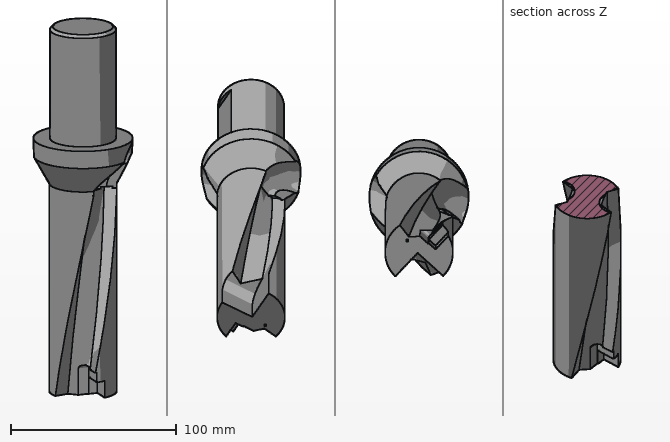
import cadquery as cq
import math

total_length = 229.0
face_z = 0.7
cone_bottom_z = 131.0
collar_bottom_z = 148.3
collar_top_z = 159.0

body_radius = 41.0 / 2
collar_radius = 60.0 / 2
shank_radius = 40.0 / 2
shank_chamfer = 1.8

flat_y = 18.3
flat_margin = 7.0

twist_per_unit = 0.5679
flute_top_z = 129.3
leading_lip = (body_radius, 102.5)
leading_root = (11.7, 105.0)
floor_middle = (10.0, 138.0)
trailing_root = (12.8, 167.0)
trailing_lip = (body_radius, 169.0)
lip_overrun = 1.4
mouth_middle = (29.8, 135.0)

runout_axis_y = -26.3
runout_axis_z = 128.2
runout_outer_x = -25.5
runout_inner_x = -8.5
runout_outer_wall = 21.3
runout_inner_wall = 14.6
runout_crown_x = -17.5
runout_crown = 28.8

central_face_x = -0.7
central_wall_y = -0.5
central_arc_z = 11.7
central_arc_radius = 14.6

outer_face_x = 7.8
outer_wall_y = 0.5
outer_ceiling_z = 17.2
relief_radius = 2.5
seat_face_x = 8.2
seat_wall_y = 6.0
seat_top_z = 11.2

point_x = 0.7
point_y = -10.3
point_radius = 0.7

clearance = 34.3


def polar(radius, degrees):
    angle = math.radians(degrees)
    return (radius * math.cos(angle), radius * math.sin(angle))


def extended(root, lip):
    """Continue the line from root to lip until it is well outside the body."""
    (x0, y0), (x1, y1) = polar(*root), polar(*lip)
    return (x0 + (x1 - x0) * lip_overrun, y0 + (y1 - y0) * lip_overrun)


def turned_blank():
    outline = (
        cq.Workplane("XZ")
        .moveTo(0, face_z)
        .lineTo(body_radius, face_z)
        .lineTo(body_radius, cone_bottom_z)
        .lineTo(collar_radius, collar_bottom_z)
        .lineTo(collar_radius, collar_top_z)
        .lineTo(shank_radius, collar_top_z)
        .lineTo(shank_radius, total_length - shank_chamfer)
        .lineTo(shank_radius - shank_chamfer, total_length)
        .lineTo(0, total_length)
        .close()
    )
    return outline.revolve(360, (0, 0, 0), (0, 1, 0))


def shank_flat():
    length = total_length - collar_top_z - 2 * flat_margin
    return (
        cq.Workplane("XY", origin=(0, flat_y, collar_top_z + flat_margin))
        .box(2 * shank_radius, clearance, length, centered=(True, False, False))
    )


def flute():
    profile = (
        cq.Workplane("XY")
        .moveTo(*extended(leading_root, leading_lip))
        .lineTo(*polar(*leading_root))
        .threePointArc(polar(*floor_middle), polar(*trailing_root))
        .lineTo(*extended(trailing_root, trailing_lip))
        .threePointArc(polar(*mouth_middle), extended(leading_root, leading_lip))
        .close()
    )
    return profile.twistExtrude(flute_top_z, twist_per_unit * flute_top_z)


def flute_runout():
    profile = (
        cq.Workplane("XY", origin=(0, runout_axis_y, runout_axis_z))
        .moveTo(runout_outer_x, 0)
        .lineTo(runout_outer_x, runout_outer_wall)
        .threePointArc((runout_crown_x, runout_crown), (runout_inner_x, runout_inner_wall))
        .lineTo(runout_inner_x, 0)
        .close()
    )
    return profile.revolve(180, (0, 0, 0), (1, 0, 0))


def central_pocket():
    arc_center_x = central_face_x - central_arc_radius
    profile = (
        cq.Workplane("XZ", origin=(0, central_wall_y, 0))
        .moveTo(central_face_x, 0)
        .lineTo(central_face_x, central_arc_z)
        .radiusArc((arc_center_x, central_arc_z + central_arc_radius), -central_arc_radius)
        .lineTo(-clearance, central_arc_z + central_arc_radius)
        .lineTo(-clearance, 0)
        .close()
    )
    return profile.extrude(-clearance)


def outer_pocket():
    pocket = (
        cq.Workplane("XY", origin=(outer_face_x, outer_wall_y - clearance, 0))
        .box(clearance, clearance, outer_ceiling_z, centered=False)
    )
    relief = (
        cq.Workplane("XZ", origin=(outer_face_x + relief_radius, outer_wall_y, outer_ceiling_z))
        .circle(relief_radius)
        .extrude(clearance)
    )
    seat = (
        cq.Workplane("XY", origin=(seat_face_x, seat_wall_y - clearance, 0))
        .box(clearance, clearance, seat_top_z, centered=False)
    )
    return pocket.union(relief).union(seat)


def cutting_point():
    cone = cq.Solid.makeCone(0, point_radius, face_z, pnt=cq.Vector(point_x, point_y, 0))
    return cq.Workplane(obj=cone)


result = turned_blank().cut(shank_flat())
for turn in (0, 180):
    for cutter in (flute(), flute_runout()):
        result = result.cut(cutter.rotate((0, 0, 0), (0, 0, 1), turn))
result = result.cut(central_pocket()).cut(outer_pocket())
result = result.union(cutting_point())